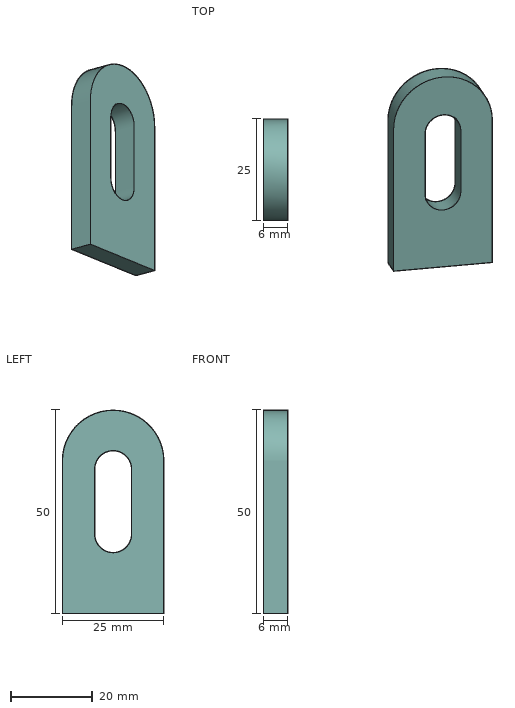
import cadquery as cq

thickness = 6.0
width = 25.0
height = 50.0
slot_width = 9.0
slot_length = 25.0
slot_bottom = 15.0

half_width = width / 2
shoulder_height = height - half_width
slot_center_height = slot_bottom + slot_length / 2


def make_plate():
    """Flat plate with a square base and a full-radius top end."""
    return (
        cq.Workplane("YZ")
        .moveTo(-half_width, 0)
        .lineTo(half_width, 0)
        .lineTo(half_width, shoulder_height)
        .threePointArc((0, height), (-half_width, shoulder_height))
        .close()
        .extrude(thickness)
    )


def make_slot():
    """Upright round-ended slot through the full thickness."""
    return (
        cq.Workplane("YZ")
        .center(0, slot_center_height)
        .slot2D(slot_length, slot_width, 90)
        .extrude(thickness)
    )


result = make_plate().cut(make_slot())